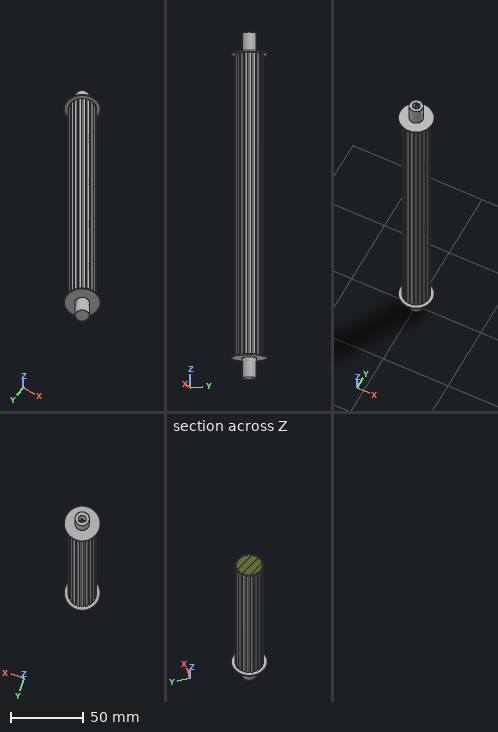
import cadquery as cq

total_length = 242.0
flange_diameter = 25.0
flange_thickness = 1.0
stub_length = 14.0
shaft_diameter = 10.0

barrel_diameter = 19.8
groove_count = 21
groove_width = 1.1
groove_depth = 1.0

bore_diameter = 5.0
bore_depth = 14.0
key_width = 1.0

half_length = total_length / 2
flange_outer_height = half_length - stub_length
barrel_half_length = flange_outer_height - flange_thickness


def centred_cylinder(diameter, half_height):
    """Cylinder on the Z axis, symmetric about the XY plane."""
    return cq.Workplane("XY").circle(diameter / 2).extrude(half_height, both=True)


def flange(bottom_height):
    """Thin disc that closes one end of the toothed barrel."""
    disc = cq.Workplane("XY").workplane(offset=bottom_height)
    return disc.circle(flange_diameter / 2).extrude(flange_thickness)


def toothed_barrel():
    """Cylinder with evenly spaced straight grooves, one of them facing -Y."""
    grooves = (
        cq.Workplane("XY")
        .polarArray(barrel_diameter / 2, -90, 360, groove_count)
        .rect(2 * groove_depth, groove_width)
        .extrude(barrel_half_length, both=True)
    )
    return centred_cylinder(barrel_diameter, barrel_half_length).cut(grooves)


def keyed_bore():
    """Blind hole volume whose key stands on the +Y wall and reaches the axis."""
    mouth = cq.Workplane("XY").workplane(offset=half_length)
    bore = mouth.circle(bore_diameter / 2).extrude(-bore_depth)
    key_length = bore_diameter / 2
    key = (
        mouth.center(0, key_length / 2)
        .rect(key_width, key_length)
        .extrude(-bore_depth)
    )
    return bore.cut(key)


shaft = centred_cylinder(shaft_diameter, half_length)
body = toothed_barrel().union(shaft)
for bottom_height in (barrel_half_length, -flange_outer_height):
    body = body.union(flange(bottom_height))

result = body.cut(keyed_bore())